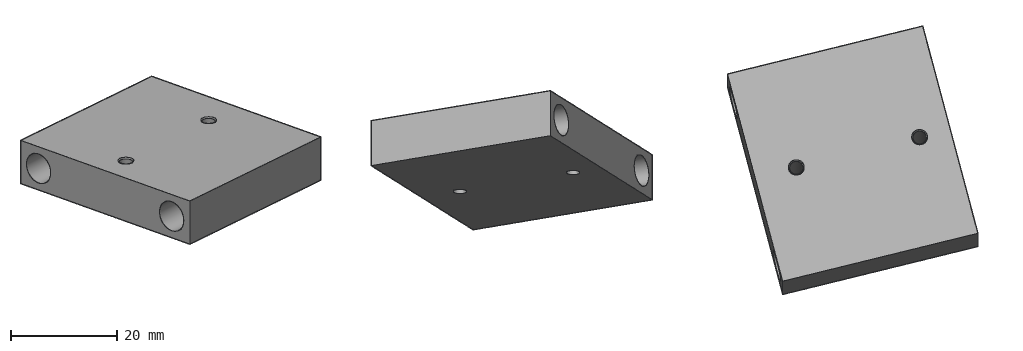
import cadquery as cq

width = 42.0
depth = 38.0
height = 9.0

bore_diameter = 6.0
bore_spacing = 33.0

hole_diameter = 2.5
countersink_diameter = 3.0
countersink_angle = 90.0
hole_spacing = 24.0
hole_pair_offset = -1.0


def make_block():
    return cq.Workplane("XY").box(width, depth, height)


def cut_bores(body):
    half_spacing = bore_spacing / 2
    bores = (
        cq.Workplane("XZ")
        .pushPoints([(-half_spacing, 0), (half_spacing, 0)])
        .circle(bore_diameter / 2)
        .extrude(depth / 2, both=True)
    )
    return body.cut(bores)


def cut_countersunk_holes(body):
    half_spacing = hole_spacing / 2
    return (
        body.faces(">Z")
        .workplane(origin=(0, hole_pair_offset, height / 2))
        .pushPoints([(0, -half_spacing), (0, half_spacing)])
        .cskHole(hole_diameter, countersink_diameter, countersink_angle)
    )


result = cut_countersunk_holes(cut_bores(make_block()))